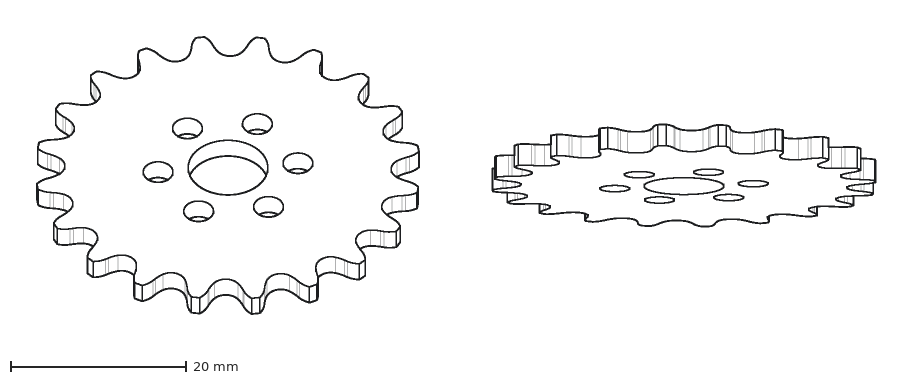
import cadquery as cq
import math

tooth_count = 20
chain_pitch = 6.35
roller_diameter = 3.3
seat_radius = 1.7
overall_width = 43.5
thickness = 2.5

bore_diameter = 9.1
bolt_count = 6
bolt_hole_diameter = 3.4
bolt_circle_diameter = 16.0

half_tooth_angle = math.pi / tooth_count
pitch_radius = chain_pitch / 2 / math.sin(half_tooth_angle)
seat_end_angle = math.radians(35 + 60 / tooth_count)
working_sweep = math.radians(18 - 56 / tooth_count)
working_center_offset = 0.8 * roller_diameter
topping_center_offset = 1.4 * roller_diameter


def polar(radius, angle, center=(0, 0)):
    """Point at a radius and angle (radians) about a center."""
    return (center[0] + radius * math.cos(angle), center[1] + radius * math.sin(angle))


def rotated(point, angle):
    """Point turned about the sprocket axis."""
    return polar(math.hypot(*point), math.atan2(point[1], point[0]) + angle)


def mirrored(point):
    """Point reflected to the other side of the gap centerline."""
    return (-point[0], point[1])


def flank_points():
    """Right flank of the tooth gap centered on +Y, from the seat outwards to the tooth tip."""
    seat_center = (0, pitch_radius)
    working_center = polar(working_center_offset, math.pi - seat_end_angle, seat_center)
    working_radius = working_center_offset + seat_radius
    topping_center = polar(topping_center_offset, -half_tooth_angle, seat_center)

    line_normal_angle = working_sweep - seat_end_angle
    topping_radius = (
        (topping_center[0] - working_center[0]) * math.cos(line_normal_angle)
        + (topping_center[1] - working_center[1]) * math.sin(line_normal_angle)
        - working_radius
    )

    seat_end = polar(seat_radius, -seat_end_angle, seat_center)
    working_mid = polar(working_radius, working_sweep / 2 - seat_end_angle, working_center)
    working_end = polar(working_radius, line_normal_angle, working_center)
    topping_start_angle = math.pi + line_normal_angle
    topping_start = polar(topping_radius, topping_start_angle, topping_center)

    corner_height = overall_width / 2 - topping_center[1]
    corner_offset = math.sqrt(topping_radius**2 - corner_height**2)
    tip_corner = (topping_center[0] - corner_offset, overall_width / 2)
    topping_end_angle = math.atan2(corner_height, -corner_offset)
    topping_mid_angle = (topping_start_angle + topping_end_angle) / 2
    topping_mid = polar(topping_radius, topping_mid_angle, topping_center)
    return seat_end, working_mid, working_end, topping_start, topping_mid, tip_corner


def toothed_outline():
    """Closed outline made of one gap and one tooth tip per step, running clockwise."""
    right_flank = flank_points()
    left_flank = [mirrored(point) for point in right_flank]
    tip_radius = math.hypot(*right_flank[-1])
    gap_bottom = (0, pitch_radius - seat_radius)

    outline = cq.Workplane("XY").moveTo(*left_flank[-1])
    for step in range(tooth_count):
        turn = -2 * half_tooth_angle * step
        seat_end, working_mid, working_end, topping_start, topping_mid, tip_corner = [
            rotated(point, turn) for point in right_flank
        ]
        left_seat, left_working_mid, left_working, left_topping, left_topping_mid, _ = [
            rotated(point, turn) for point in left_flank
        ]
        tip_middle = polar(tip_radius, math.pi / 2 - half_tooth_angle + turn)
        next_corner = rotated(left_flank[-1], turn - 2 * half_tooth_angle)
        outline = (
            outline.threePointArc(left_topping_mid, left_topping)
            .lineTo(*left_working)
            .threePointArc(left_working_mid, left_seat)
            .threePointArc(rotated(gap_bottom, turn), seat_end)
            .threePointArc(working_mid, working_end)
            .lineTo(*topping_start)
            .threePointArc(topping_mid, tip_corner)
            .threePointArc(tip_middle, next_corner)
        )
    return outline.close()


plate = toothed_outline().extrude(thickness)

bore = cq.Workplane("XY").circle(bore_diameter / 2).extrude(thickness)

bolt_holes = (
    cq.Workplane("XY")
    .polarArray(bolt_circle_diameter / 2, 0, 360, bolt_count)
    .circle(bolt_hole_diameter / 2)
    .extrude(thickness)
)

result = plate.cut(bore).cut(bolt_holes)